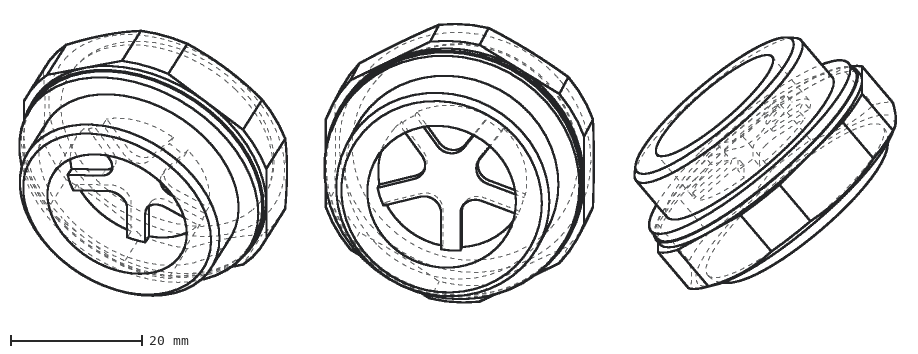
import cadquery as cq
import math

spigot_diameter = 33.0
spigot_length = 8.5
spigot_chamfer = 0.98

seat_diameter = 39.5
seat_thickness = 1.53
collar_diameter = 40.0
collar_thickness = 0.98

hex_sides = 6
hex_across_flats = 40.0
hex_corner_diameter = 42.45
hex_thickness = 8.5
hex_chamfer_length = 1.0
hex_chamfer_angle = 30

cap_diameter = 35.0
cap_height = 2.5

bore_diameter = 23.0
web_depth = 7.5
web_thickness = 1.5
arm_count = 5
arm_width = 2.97
arm_root_radius = 2.5

seat_start = spigot_length
collar_start = seat_start + seat_thickness
hex_start = collar_start + collar_thickness
cap_start = hex_start + hex_thickness
overall_length = cap_start + cap_height
bore_depth = web_depth + web_thickness


def plane_at(station):
    """XZ plane at the given Y station, with its normal pointing to +Y."""
    return cq.Plane(origin=(0, station, 0), xDir=(1, 0, 0), normal=(0, 1, 0))


def disc(station, diameter, length):
    return cq.Workplane(plane_at(station)).circle(diameter / 2).extrude(length)


def spigot():
    return disc(0, spigot_diameter, spigot_length).faces("<Y").chamfer(spigot_chamfer)


def hexagon():
    """Hexagon with flats facing +X and -X, its corners turned round and chamfered at the back."""
    across_corners = hex_across_flats / math.cos(math.pi / hex_sides)
    prism = (
        cq.Workplane(plane_at(hex_start))
        .transformed(rotate=(0, 0, 180 / hex_sides))
        .polygon(hex_sides, across_corners)
        .extrude(hex_thickness)
    )
    chamfer_drop = hex_chamfer_length / math.tan(math.radians(hex_chamfer_angle))
    corner_radius = hex_corner_diameter / 2
    envelope = (
        cq.Workplane("XY")
        .moveTo(0, hex_start)
        .lineTo(corner_radius, hex_start)
        .lineTo(corner_radius, cap_start - hex_chamfer_length)
        .lineTo(corner_radius - chamfer_drop, cap_start)
        .lineTo(0, cap_start)
        .close()
        .revolve(360, (0, 0, 0), (0, 1, 0))
    )
    return prism.intersect(envelope)


def cap():
    """Domed back: a flat disc whose rim is a quarter round over the full cap height."""
    rim_radius = cap_diameter / 2
    arc_middle = cap_height * math.sqrt(0.5)
    return (
        cq.Workplane("XY")
        .moveTo(0, cap_start)
        .lineTo(rim_radius, cap_start)
        .threePointArc(
            (rim_radius - cap_height + arc_middle, cap_start + arc_middle),
            (rim_radius - cap_height, overall_length),
        )
        .lineTo(0, overall_length)
        .close()
        .revolve(360, (0, 0, 0), (0, 1, 0))
    )


def star_web():
    """Five arms on the bore floor, one pointing to -Z, with rounded roots between them."""
    arm_reach = (bore_diameter + spigot_diameter) / 4
    root_distance = arm_width / 2 / math.sin(math.pi / arm_count)
    star = disc(web_depth, 2 * root_distance, web_thickness)
    for index in range(arm_count):
        arm = (
            cq.Workplane("XY")
            .box(arm_width, web_thickness, arm_reach, centered=(True, False, False))
            .translate((0, web_depth, -arm_reach))
            .rotate((0, 0, 0), (0, 1, 0), index * 360 / arm_count)
        )
        star = star.union(arm)
    root_zone = cq.selectors.BoxSelector(
        (-arm_width, web_depth, -arm_width),
        (arm_width, bore_depth, arm_width),
    )
    star = star.edges("|Y").edges(root_zone).fillet(arm_root_radius)
    return star.intersect(disc(web_depth, bore_diameter, web_thickness))


body = (
    spigot()
    .union(disc(seat_start, seat_diameter, seat_thickness))
    .union(disc(collar_start, collar_diameter, collar_thickness))
    .union(hexagon())
    .union(cap())
)
result = body.cut(disc(0, bore_diameter, bore_depth)).union(star_web())